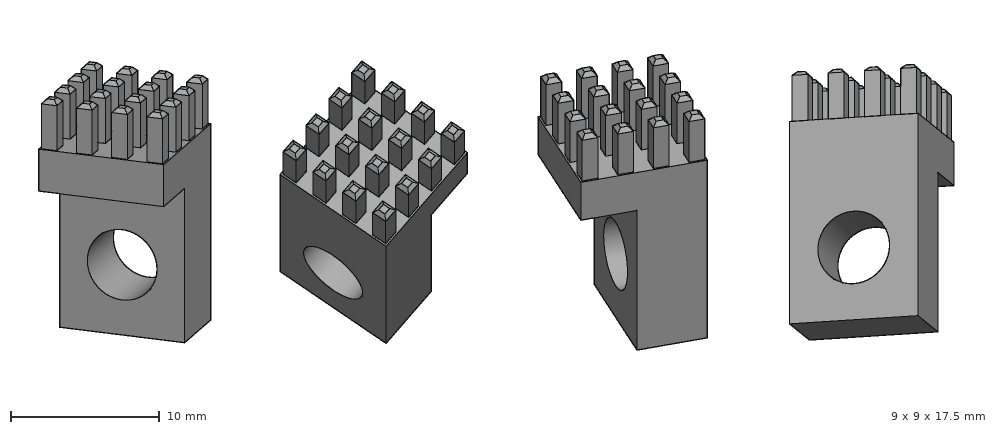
import cadquery as cq

body_width = 9.0
total_height = 17.5

pin_count = 4
pin_width = 1.12
pin_margin = 0.14
pin_pitch = (body_width - pin_width - 2 * pin_margin) / (pin_count - 1)
pin_height = 3.5
tip_chamfer = 0.3

body_height = total_height - pin_height
head_height = 3.0
stem_depth = 5.0

hole_diameter = 5.0
hole_height = 5.0


def make_body():
    """L-shaped block, centred in X and Y, with its stem on the +Y side."""
    back = body_width / 2
    front = -body_width / 2
    stem_front = back - stem_depth
    head_bottom = body_height - head_height
    return (
        cq.Workplane("YZ")
        .moveTo(back, 0)
        .lineTo(back, body_height)
        .lineTo(front, body_height)
        .lineTo(front, head_bottom)
        .lineTo(stem_front, head_bottom)
        .lineTo(stem_front, 0)
        .close()
        .extrude(body_width / 2, both=True)
    )


def make_hole():
    """Cylinder along Y, long enough to pass right through the stem."""
    return (
        cq.Workplane("XZ")
        .center(0, hole_height)
        .circle(hole_diameter / 2)
        .extrude(body_width, both=True)
    )


def make_pins():
    """Square grid of pins standing on the head, each with a chamfered tip."""
    return (
        cq.Workplane("XY", origin=(0, 0, body_height))
        .rarray(pin_pitch, pin_pitch, pin_count, pin_count)
        .rect(pin_width, pin_width)
        .extrude(pin_height)
        .faces(">Z")
        .edges()
        .chamfer(tip_chamfer)
    )


result = make_body().cut(make_hole()).union(make_pins())